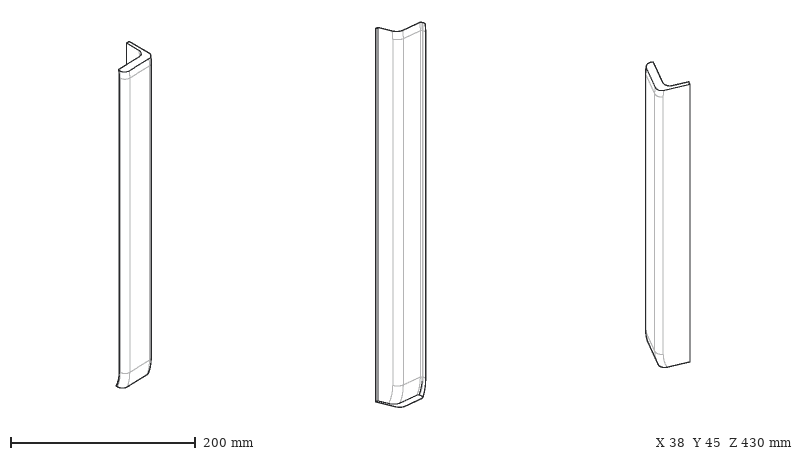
import cadquery as cq

width = 38.0
depth = 45.0
height = 430.0

flange_thickness = 4.5
leg_thickness = 10.0
outer_radius = 7.5
edge_radius = 1.5
inner_radius = 8.0

bend_radius = 64.5
bottom_bend_height = 22.0
top_bend_height = 9.5
bend_axis_x = width - bend_radius
straight_top = height - top_bend_height
quarter_turn = 90

flange_flat_width = width - leg_thickness - inner_radius


def cross_section(z):
    """L-shaped section at height z, with its back face on y = depth."""
    leg_inner_x = width - leg_thickness
    flange_front_y = depth - flange_thickness
    return (
        cq.Sketch()
        .segment((0, depth), (width - outer_radius, depth))
        .arc((width - outer_radius, depth - outer_radius), outer_radius, 90, -90)
        .segment((width, depth - outer_radius), (width, outer_radius))
        .arc((width - outer_radius, outer_radius), outer_radius, 0, -90)
        .segment((width - outer_radius, 0), (leg_inner_x + edge_radius, 0))
        .arc((leg_inner_x + edge_radius, edge_radius), edge_radius, -90, -90)
        .segment((leg_inner_x, edge_radius), (leg_inner_x, flange_front_y - inner_radius))
        .arc((leg_inner_x - inner_radius, flange_front_y - inner_radius), inner_radius, 0, 90)
        .segment((flange_flat_width, flange_front_y), (0, flange_front_y))
        .segment((0, flange_front_y), (0, depth))
        .assemble()
        .moved(cq.Location(cq.Vector(0, 0, z)))
    )


def bent_end(z, axis_direction):
    """Sweep the section from height z around an axis parallel to Y."""
    return (
        cq.Workplane("XY")
        .placeSketch(cross_section(z))
        .revolve(quarter_turn, (bend_axis_x, 0, z), (bend_axis_x, axis_direction, z))
    )


def box_between(low, high):
    """Box spanning two opposite corner points."""
    size = [b - a for a, b in zip(low, high)]
    return cq.Workplane("XY").box(*size, centered=False).translate(low)


straight_length = straight_top - bottom_bend_height
straight = cq.Workplane("XY").placeSketch(cross_section(bottom_bend_height)).extrude(straight_length)
flange = box_between((0, depth - flange_thickness, 0), (flange_flat_width, depth, height))
bottom_end = bent_end(bottom_bend_height, 1)
top_end = bent_end(straight_top, -1)

envelope = box_between((0, 0, 0), (width, depth, height))
ends = bottom_end.union(top_end).intersect(envelope)
result = straight.union(ends).union(flange).clean()